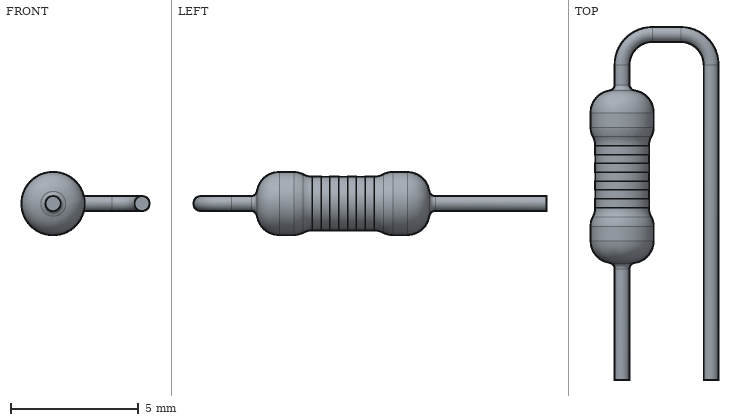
import cadquery as cq
import math


wire_dia = 0.6
wire_radius = wire_dia / 2
overall_length = 13.9
lead_pitch = 3.5
bend_radius = 1.2
lead_back_y = 5.9
lead_front_y = lead_back_y - overall_length

cap_radius = 2.5 / 2
waist_radius = 2.13 / 2
dome_radius = 0.89
cap_outer_y = 2.52
cap_inner_y = 1.95
neck_y = 3.61

band_radius = 2.14 / 2
band_count = 4
band_width = 0.35
band_pitch = 2 * band_width
waist_half_length = (band_count - 0.5) * band_width

dome_centre_r = cap_radius - dome_radius
neck_rise = neck_y - cap_outer_y
neck_offset = wire_radius - dome_centre_r
neck_radius = (neck_offset**2 + neck_rise**2 - dome_radius**2) / (2 * (dome_radius - neck_offset))
neck_angle = math.atan2(neck_rise, neck_offset + neck_radius)

shoulder_mid_r = (waist_radius + cap_radius) / 2
shoulder_mid_y = (waist_half_length + cap_inner_y) / 2


def make_rod(radius, start_y, end_y):
    """Cylinder on the Y axis."""
    return cq.Workplane("XZ", origin=(0, end_y, 0)).circle(radius).extrude(end_y - start_y)


def dome_point(angle):
    """Point on the dome arc, with the angle measured from the radial direction."""
    return (
        dome_centre_r + dome_radius * math.cos(angle),
        cap_outer_y + dome_radius * math.sin(angle),
    )


def make_body_end():
    """Revolve the +Y end of the body, from the neck to the waist."""
    neck_mid_angle = math.pi + neck_angle / 2
    neck_mid = (
        wire_radius + neck_radius + neck_radius * math.cos(neck_mid_angle),
        neck_y + neck_radius * math.sin(neck_mid_angle),
    )
    return (
        cq.Workplane("XY")
        .moveTo(0, neck_y)
        .lineTo(wire_radius, neck_y)
        .threePointArc(neck_mid, dome_point(neck_angle))
        .threePointArc(dome_point(neck_angle / 2), (cap_radius, cap_outer_y))
        .lineTo(cap_radius, cap_inner_y)
        .tangentArcPoint((shoulder_mid_r, shoulder_mid_y), relative=False)
        .tangentArcPoint((waist_radius, waist_half_length), relative=False)
        .lineTo(0, waist_half_length)
        .close()
        .revolve(360, (0, 0), (0, 1))
    )


def make_body():
    end = make_body_end()
    waist = make_rod(waist_radius, -waist_half_length, waist_half_length)
    body = waist.union(end).union(end.mirror("XZ"))
    for index in range(band_count):
        band_start_y = index * band_pitch - waist_half_length
        band = make_rod(band_radius, band_start_y, band_start_y + band_width)
        body = body.union(band)
    return body


def make_front_lead():
    """Straight lead reaching into the body."""
    return make_rod(wire_radius, lead_front_y, 0)


def make_folded_lead():
    """Lead leaving the back of the body and returning along +X beside it."""
    crossbar_y = lead_back_y - wire_radius
    bend_start_y = crossbar_y - bend_radius
    path = (
        cq.Workplane("XY")
        .lineTo(0, bend_start_y)
        .tangentArcPoint((bend_radius, crossbar_y), relative=False)
        .lineTo(lead_pitch - bend_radius, crossbar_y)
        .tangentArcPoint((lead_pitch, bend_start_y), relative=False)
        .lineTo(lead_pitch, lead_front_y)
    )
    return cq.Workplane("XZ").circle(wire_radius).sweep(path)


result = make_body().union(make_front_lead()).union(make_folded_lead())